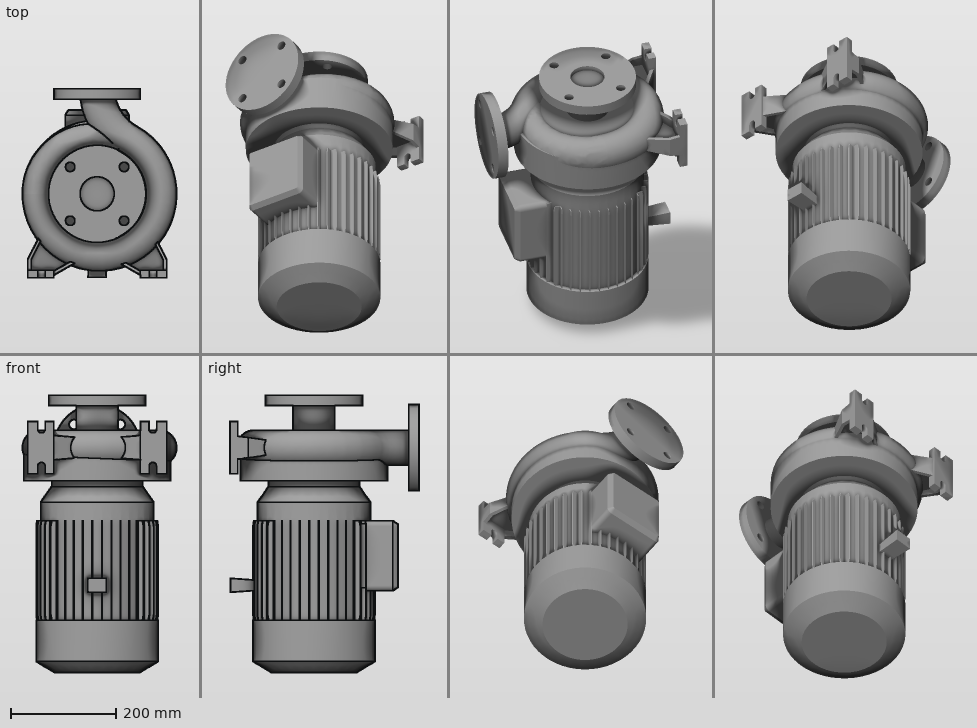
import cadquery as cq
import math


inlet_top_z = 100
inlet_flange_dia = 185
inlet_bore_dia = 65
inlet_bore_depth = 10
inlet_pitch_dia = 145
inlet_pipe_dia = 80

discharge_end_y = 200
discharge_flange_dia = 165
discharge_pitch_dia = 125

flange_thickness = 20
bolt_hole_dia = 18
bolt_count = 4
first_bolt_angle = 45

tube_radius = 33.5
spiral_outer_radius = 147
spiral_radius = spiral_outer_radius - tube_radius
spiral_centre_x = 4.5
bend_radius = (discharge_end_y**2 + spiral_centre_x**2 - spiral_radius**2) / (
    2 * (spiral_radius + spiral_centre_x)
)
spiral_end_angle = math.degrees(math.atan2(discharge_end_y, bend_radius - spiral_centre_x))
tongue_outer_radius = 134
tongue_end_angle = 60
tongue_end_section_radius = 27
tongue_sections = 5
floor_z = 23

casing_radius = 140
casing_top_z = 6
casing_bottom_z = -63
neck_radius = 87
neck_bottom_z = -74
barrel_radius = 108
shoulder_bottom_z = -104
fin_top_z = -139
fin_bottom_z = -328.5
cover_radius = 116.5
cover_edge_z = -407
cover_end_radius = 81
motor_end_z = -428

fin_pitch_angle = 9
fins_per_half_side = 5
fin_thickness = 1.5
fin_end_relief = 1.5
fin_end_relief_height = 10

box_width = 122
box_outer_y = 160
box_height = 133.5
box_corner_radius = 10
box_chamfer_depth = 10
box_chamfer_inset = 6.5

pad_z = -262
pad_outer_y = -159
pad_inner_y = -110
pad_outer_width = 35
pad_outer_height = 27
pad_inner_width = 31
pad_inner_height = 20

foot_face_y = -160
foot_thickness = 15
foot_height = 100
foot_width = 50
feet_overall_width = 265
foot_back_y = foot_face_y + foot_thickness
foot_outer_x = feet_overall_width / 2
foot_inner_x = foot_outer_x - foot_width
slot_pitch_x = 212
slot_pitch_z = 70
slot_width = 14
rib_thickness = 7
rib_straight = 20
side_rib_slope = 27
side_rib_reach = 60
inner_rib_slope = 30
inner_rib_reach = 50
inner_rib_drop = 2
rib_root_half_height = 22
rib_tip_half_height = 13.5
rib_tip_y = -84
web_thickness = 7


def polar(radius, angle, centre_x=0):
    """Point on a circle centred on the X axis."""
    turn = math.radians(angle)
    return (centre_x + radius * math.cos(turn), radius * math.sin(turn))


def cylinder(radius, bottom_z, top_z):
    return cq.Workplane("XY").workplane(offset=bottom_z).circle(radius).extrude(top_z - bottom_z)


def flange(plane, diameter, pitch_dia):
    """Drilled flange disc whose outer face lies on the given plane."""
    disc = cq.Workplane(plane).circle(diameter / 2).extrude(-flange_thickness)
    holes = (
        cq.Workplane(plane)
        .polarArray(pitch_dia / 2, first_bolt_angle, 360, bolt_count)
        .circle(bolt_hole_dia / 2)
        .extrude(-flange_thickness)
    )
    return disc.cut(holes)


def make_inlet():
    plane = cq.Plane(origin=(0, 0, inlet_top_z), xDir=(1, 0, 0), normal=(0, 0, 1))
    pipe = cylinder(inlet_pipe_dia / 2, casing_bottom_z, inlet_top_z - flange_thickness)
    bore = cylinder(inlet_bore_dia / 2, inlet_top_z - inlet_bore_depth, inlet_top_z)
    return flange(plane, inlet_flange_dia, inlet_pitch_dia).union(pipe).cut(bore)


def make_discharge_flange():
    plane = cq.Plane(origin=(0, discharge_end_y, 0), xDir=(1, 0, 0), normal=(0, 1, 0))
    return flange(plane, discharge_flange_dia, discharge_pitch_dia)


def make_tongue(start_x):
    """Closing stretch of the spiral, following an arc on its outer side and thinning toward the discharge."""
    centre_x = start_x - tube_radius + tongue_outer_radius
    sections = []
    for index in range(tongue_sections):
        progress = index / (tongue_sections - 1)
        radius = tube_radius + (tongue_end_section_radius - tube_radius) * progress
        angle = 180 + (tongue_end_angle - 180) * progress
        x, y = polar(tongue_outer_radius - radius, angle, centre_x)
        plane = cq.Plane(origin=(x, y, 0), xDir=(0, 0, -1), normal=(*polar(1, angle - 90), 0))
        sections.append(cq.Workplane(plane).circle(radius).wires().val())
    return cq.Workplane(cq.Solid.makeLoft(sections))


def make_volute():
    """Spiral tube with its S-bend to the discharge, the closing tongue, and the floor inside."""
    spiral_start = polar(spiral_radius, 180, spiral_centre_x)
    spiral_middle = polar(spiral_radius, 300, spiral_centre_x)
    spiral_end = polar(spiral_radius, spiral_end_angle, spiral_centre_x)
    bend_half = math.radians(spiral_end_angle / 2)
    bend_middle = (
        bend_radius * (1 - math.cos(bend_half)),
        discharge_end_y - bend_radius * math.sin(bend_half),
    )
    path = (
        cq.Workplane("XY")
        .moveTo(*spiral_start)
        .threePointArc(spiral_middle, spiral_end)
        .threePointArc(bend_middle, (0, discharge_end_y))
    )
    section = cq.Workplane("XZ").center(spiral_start[0], 0).circle(tube_radius)
    tube = section.sweep(path)

    floor = cylinder(spiral_radius, casing_bottom_z, floor_z).translate((spiral_centre_x, 0, 0))
    return tube.union(make_tongue(spiral_start[0])).union(floor)


def make_body():
    """Casing, neck, motor barrel and end cover turned about the motor axis."""
    profile = [
        (0, casing_top_z),
        (casing_radius, casing_top_z),
        (casing_radius, casing_bottom_z),
        (neck_radius, casing_bottom_z),
        (neck_radius, neck_bottom_z),
        (barrel_radius, shoulder_bottom_z),
        (barrel_radius, fin_bottom_z),
        (cover_radius, fin_bottom_z),
        (cover_radius, cover_edge_z),
        (cover_end_radius, motor_end_z),
        (0, motor_end_z),
    ]
    return cq.Workplane("XZ").polyline(profile).close().revolve(360, (0, 0), (0, 1))


def make_fins():
    """Four groups of parallel fins, each trimmed to the round envelope of the motor."""
    height = fin_top_z - fin_bottom_z
    fins = cq.Workplane("XY")
    for index in range(fins_per_half_side):
        offset = cover_radius * math.sin(math.radians(fin_pitch_angle * (index + 0.5)))
        blade = cq.Workplane("XY").box(
            fin_thickness, 2 * cover_radius, height, centered=(True, True, False)
        ).translate((offset, 0, fin_bottom_z))
        for angle in (0, 90, 180, 270):
            fins = fins.add(blade.rotate((0, 0, 0), (0, 0, 1), angle))
    relieved_radius = cover_radius - fin_end_relief
    envelope_profile = [
        (0, fin_bottom_z),
        (relieved_radius, fin_bottom_z),
        (cover_radius, fin_bottom_z + fin_end_relief_height),
        (cover_radius, fin_top_z - fin_end_relief_height),
        (relieved_radius, fin_top_z),
        (0, fin_top_z),
    ]
    envelope = cq.Workplane("XZ").polyline(envelope_profile).close().revolve(360, (0, 0), (0, 1))
    return fins.combine().intersect(envelope)


def make_terminal_box():
    box = (
        cq.Workplane("XY")
        .box(box_width, box_outer_y, box_height, centered=(True, False, False))
        .edges("|Y")
        .fillet(box_corner_radius)
        .faces(">Y")
        .chamfer(box_chamfer_inset, box_chamfer_depth)
    )
    return box.translate((0, 0, fin_top_z - box_height))


def make_pad():
    """Support pad that flares outward from the motor."""
    plane = cq.Plane(origin=(0, pad_inner_y, pad_z), xDir=(1, 0, 0), normal=(0, -1, 0))
    return (
        cq.Workplane(plane)
        .rect(pad_inner_width, pad_inner_height)
        .workplane(offset=pad_inner_y - pad_outer_y)
        .rect(pad_outer_width, pad_outer_height)
        .loft()
    )


def make_foot_plate():
    """Mounting plate with an open-ended bolt slot at its top and bottom."""
    plate = cq.Workplane("XY").box(foot_width, foot_thickness, foot_height, centered=(False, False, True))
    plate = plate.translate((foot_inner_x, foot_face_y, 0))
    slot_depth = (foot_height - slot_pitch_z) / 2
    slot = (
        cq.Workplane("XZ", origin=(slot_pitch_x / 2, foot_back_y, slot_pitch_z / 2))
        .moveTo(-slot_width / 2, slot_depth)
        .lineTo(-slot_width / 2, 0)
        .threePointArc((0, -slot_width / 2), (slot_width / 2, 0))
        .lineTo(slot_width / 2, slot_depth)
        .close()
        .extrude(foot_thickness)
    )
    return plate.cut(slot).cut(slot.mirror("XY"))


def slab(outline, thickness):
    """Plate of the given plan outline, centred on the discharge axis."""
    return cq.Workplane("XY").polyline(outline).close().extrude(thickness / 2, both=True)


def make_foot_ribs():
    """Side rib and inner rib, tapering in height toward the volute, joined by a thin web."""
    bend_y = foot_back_y + rib_straight
    side_tip_x = foot_outer_x - side_rib_reach * math.tan(math.radians(side_rib_slope))
    side_tip_y = bend_y + side_rib_reach
    side_rib = [
        (foot_outer_x, foot_back_y),
        (foot_outer_x, bend_y),
        (side_tip_x, side_tip_y),
        (side_tip_x - rib_thickness, side_tip_y),
        (foot_outer_x - rib_thickness, bend_y),
        (foot_outer_x - rib_thickness, foot_back_y),
    ]

    inner_tip_x = foot_inner_x - inner_rib_reach
    inner_rise = inner_rib_reach * math.tan(math.radians(inner_rib_slope))
    inner_top_y = foot_back_y - inner_rib_drop
    inner_low_y = inner_top_y - rib_thickness / math.cos(math.radians(inner_rib_slope))
    inner_rib = [
        (foot_inner_x, inner_low_y),
        (foot_inner_x, inner_top_y),
        (inner_tip_x, inner_top_y + inner_rise),
        (inner_tip_x, inner_low_y + inner_rise),
    ]

    web = [
        (foot_inner_x, inner_low_y),
        (foot_outer_x, inner_low_y),
        (foot_outer_x, bend_y),
        (side_tip_x, side_tip_y),
        (inner_tip_x, inner_low_y + inner_rise),
    ]

    taper = (rib_root_half_height - rib_tip_half_height) / (rib_tip_y - foot_back_y)
    near_half_height = rib_root_half_height + taper * foot_thickness
    far_half_height = rib_root_half_height - taper * (side_tip_y - foot_back_y)
    envelope_outline = [
        (foot_face_y, near_half_height),
        (side_tip_y, far_half_height),
        (side_tip_y, -far_half_height),
        (foot_face_y, -near_half_height),
    ]
    envelope = cq.Workplane("YZ").polyline(envelope_outline).close().extrude(foot_outer_x)
    ribs = slab(side_rib, foot_height).union(slab(inner_rib, foot_height)).intersect(envelope)
    return ribs.union(slab(web, web_thickness))


foot = make_foot_plate().union(make_foot_ribs())
result = (
    make_body()
    .union(make_volute())
    .union(make_inlet())
    .union(make_discharge_flange())
    .union(make_fins())
    .union(make_terminal_box())
    .union(make_pad())
    .union(foot)
    .union(foot.mirror("YZ"))
)